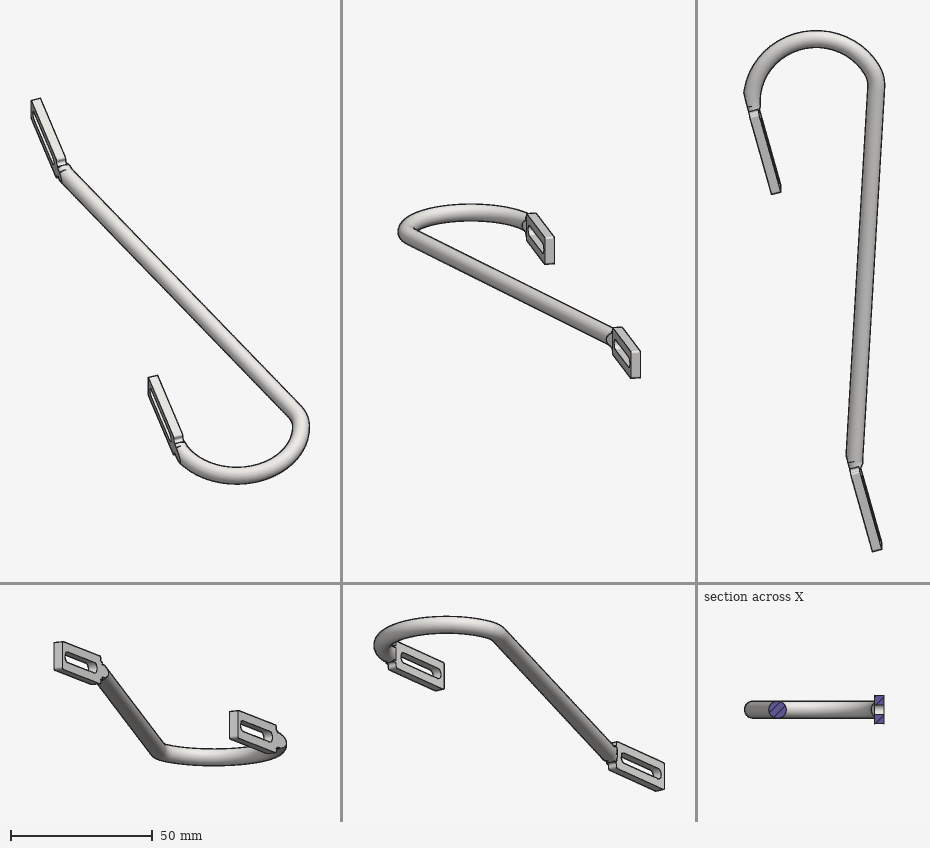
import cadquery as cq
import math

PLATE_LENGTH = 29.8
PLATE_HEIGHT = 10.0
PLATE_THICKNESS = 3.5
PLATE_CORNER_RADIUS = 0.8
SLOT_LENGTH = 24.6
SLOT_HEIGHT = 3.8
SLOT_START = 2.0
HOOK_PLATE_START = 136.0

ROD_RADIUS = 3.0
OVERALL_LENGTH = 189.5
HOOK_RADIUS = 22.7
HOOK_CENTER_Y = 23.9
BEND_RADIUS = 11.4
ROD_RISE = 1 / 3
ROD_START_X = 32.5
ROD_START_Y = 2.0

NECK_TAB_LENGTH = 1.3
NECK_FILLET = 0.8
SELECTION_MARGIN = 0.2
NECK_SLOPE_LENGTH = 1.7
HOOK_NECK_LENGTH = 2.0
NECK_OVERLAP = 1.0

hook_center_x = OVERALL_LENGTH - ROD_RADIUS - HOOK_RADIUS
rod_angle = math.atan(ROD_RISE)


def hook_point(angle):
    """Point on the hook centreline, with the angle measured from +X."""
    return (
        hook_center_x + HOOK_RADIUS * math.cos(angle),
        HOOK_CENTER_Y + HOOK_RADIUS * math.sin(angle),
    )


def plate(start_x):
    """Slotted plate with a short tab that runs under the neck."""
    middle_x = start_x + PLATE_LENGTH / 2
    body = (
        cq.Workplane("XZ", origin=(middle_x, 0, 0))
        .rect(PLATE_LENGTH, PLATE_HEIGHT)
        .extrude(-PLATE_THICKNESS)
        .edges("|Y")
        .fillet(PLATE_CORNER_RADIUS)
    )
    end_x = start_x + PLATE_LENGTH
    tab = (
        cq.Workplane("XZ", origin=(end_x, 0, 0))
        .rect(2 * NECK_TAB_LENGTH, 2 * ROD_RADIUS)
        .extrude(-PLATE_THICKNESS)
    )
    inner_corners = cq.selectors.BoxSelector(
        (end_x - SELECTION_MARGIN, -SELECTION_MARGIN, -ROD_RADIUS - SELECTION_MARGIN),
        (end_x + SELECTION_MARGIN, PLATE_THICKNESS + SELECTION_MARGIN, ROD_RADIUS + SELECTION_MARGIN),
    )
    body = body.union(tab).edges("|Y").edges(inner_corners).fillet(NECK_FILLET)
    slot = (
        cq.Workplane("XZ", origin=(start_x + SLOT_START + SLOT_LENGTH / 2, 0, 0))
        .slot2D(SLOT_LENGTH, SLOT_HEIGHT)
        .extrude(-PLATE_THICKNESS)
    )
    return body.cut(slot)


def neck(start_x, end_x, center_y):
    """Round stub whose back slopes up from the plate to the rod."""
    stub = (
        cq.Workplane("YZ", origin=(start_x, center_y, 0))
        .circle(ROD_RADIUS)
        .extrude(end_x - start_x)
    )
    top_y = center_y + ROD_RADIUS
    side_profile = (
        cq.Workplane("XY", origin=(0, 0, -ROD_RADIUS))
        .moveTo(start_x, 0)
        .lineTo(start_x, PLATE_THICKNESS)
        .lineTo(start_x + NECK_SLOPE_LENGTH, top_y)
        .lineTo(end_x, top_y)
        .lineTo(end_x, 0)
        .close()
        .extrude(2 * ROD_RADIUS)
    )
    return stub.intersect(side_profile)


along = (math.cos(rod_angle), math.sin(rod_angle))
normal = (-math.sin(rod_angle), math.cos(rod_angle))
to_hook_x = hook_center_x - ROD_START_X
to_hook_y = HOOK_CENTER_Y - ROD_START_Y
hook_along = to_hook_x * along[0] + to_hook_y * along[1]
hook_offset = to_hook_x * normal[0] + to_hook_y * normal[1] + BEND_RADIUS
rod_length = hook_along + math.sqrt((HOOK_RADIUS - BEND_RADIUS) ** 2 - hook_offset**2)

rod_end = (ROD_START_X + rod_length * along[0], ROD_START_Y + rod_length * along[1])
bend_center = (rod_end[0] - BEND_RADIUS * normal[0], rod_end[1] - BEND_RADIUS * normal[1])
hook_start_angle = math.atan2(bend_center[1] - HOOK_CENTER_Y, bend_center[0] - hook_center_x)
bend_middle_angle = (hook_start_angle + rod_angle + math.pi / 2) / 2
bend_middle = (
    bend_center[0] + BEND_RADIUS * math.cos(bend_middle_angle),
    bend_center[1] + BEND_RADIUS * math.sin(bend_middle_angle),
)

hook_plate_end = HOOK_PLATE_START + PLATE_LENGTH
hook_end_x = hook_plate_end + HOOK_NECK_LENGTH
hook_end_angle = -math.acos((hook_end_x - hook_center_x) / HOOK_RADIUS)
hook_end = hook_point(hook_end_angle)

rod_path = (
    cq.Workplane("XY")
    .moveTo(ROD_START_X, ROD_START_Y)
    .lineTo(*rod_end)
    .threePointArc(bend_middle, hook_point(hook_start_angle))
    .threePointArc(hook_point((hook_start_angle + hook_end_angle) / 2), hook_end)
)
rod_start_plane = cq.Plane(
    origin=(ROD_START_X, ROD_START_Y, 0), xDir=(0, 0, 1), normal=(along[0], along[1], 0)
)
rod = cq.Workplane(rod_start_plane).circle(ROD_RADIUS).sweep(rod_path)

below_mounting_plane = cq.Workplane("XY").box(
    OVERALL_LENGTH, 2 * ROD_RADIUS, PLATE_HEIGHT, centered=(False, False, True)
).translate((0, -2 * ROD_RADIUS, 0))

result = (
    rod.union(neck(PLATE_LENGTH, ROD_START_X + NECK_OVERLAP, ROD_START_Y))
    .union(neck(hook_plate_end, hook_end_x + NECK_OVERLAP, hook_end[1]))
    .cut(below_mounting_plane)
    .union(plate(0))
    .union(plate(HOOK_PLATE_START))
)